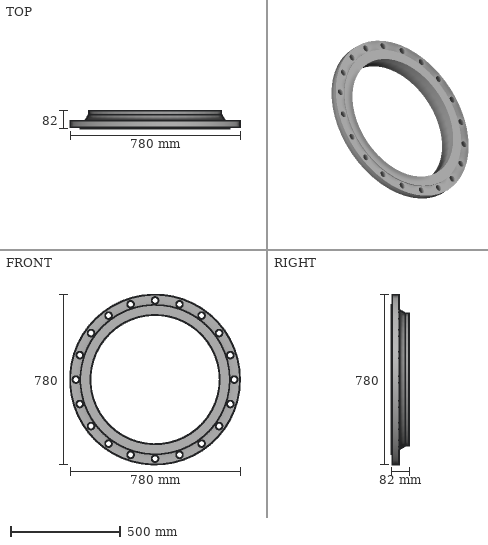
import cadquery as cq

flange_diameter = 780.0
raised_face_diameter = 685.0
bore_diameter = 591.0
neck_diameter = 608.5
hub_base_diameter = 639.5

total_length = 82.0
raised_face_height = 5.0
flange_thickness = 31.0
neck_length = 18.0
hub_fillet_radius = 12.5
selection_margin = 0.1

bolt_count = 20
bolt_circle_diameter = 725.5
bolt_hole_diameter = 30.0

flange_back = raised_face_height + flange_thickness
neck_start = total_length - neck_length


def make_body():
    """Revolve the half section, drawn as (radius, axial position)."""
    profile = (
        cq.Workplane("XY")
        .moveTo(bore_diameter / 2, 0)
        .lineTo(raised_face_diameter / 2, 0)
        .lineTo(raised_face_diameter / 2, raised_face_height)
        .lineTo(flange_diameter / 2, raised_face_height)
        .lineTo(flange_diameter / 2, flange_back)
        .lineTo(hub_base_diameter / 2, flange_back)
        .lineTo(neck_diameter / 2, neck_start)
        .lineTo(neck_diameter / 2, total_length)
        .lineTo(bore_diameter / 2, total_length)
        .close()
    )
    body = profile.revolve(360, (0, 0, 0), (0, 1, 0))

    hub_radius = hub_base_diameter / 2
    hub_root = [
        edge
        for edge in body.edges("%CIRCLE").vals()
        if abs(edge.radius() - hub_radius) < selection_margin
    ]
    return body.newObject(hub_root).fillet(hub_fillet_radius)


def make_bolt_holes():
    """Ring of through-hole cutters, with one hole on the +X axis."""
    return (
        cq.Workplane("XZ")
        .polarArray(bolt_circle_diameter / 2, 0, 360, bolt_count)
        .circle(bolt_hole_diameter / 2)
        .extrude(-total_length)
    )


result = make_body().cut(make_bolt_holes())